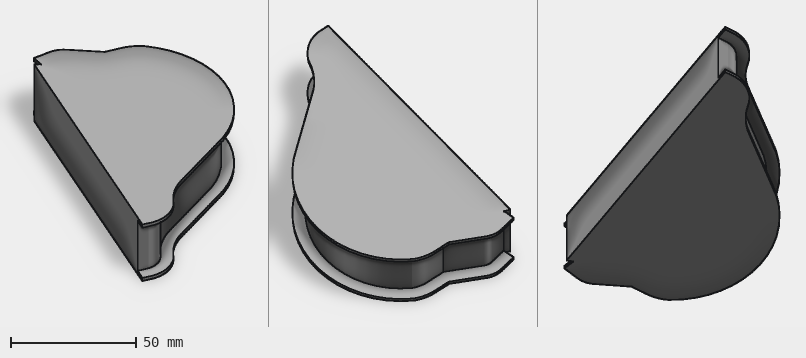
import cadquery as cq

length = 122.7
depth = 66.1
height = 28.0

flange_thickness = 1.6
wall_inset = 5.2
extension = 24.5

lip_tip = (1.7, 1.5)
nose_start = (0.2, 8.6)
nose_middle = (0.0, 10.8)
nose_end = (1.1, 15.6)
neck_x = 8.2
neck_bottom = (neck_x, 29.3)
neck_top = (neck_x, 36.0)
shoulder_middle = (8.7, 40.9)
dome_start = (10.4, 45.5)
dome_top = (47.2, depth)
dome_end = (82.8, 47.9)
valley_start = (100.3, 26.0)
valley_middle = (105.8, 20.6)
valley_end = (112.8, 17.3)
toe_middle = (119.4, 12.9)
toe_end = (length, 4.8)

notch_corner = (6.7, 2.6)
foot_corner = (5.6, 0.0)


def upper_outline(start):
    """Trace the curved edge from a start point on the lip edge to the right end."""
    return (
        cq.Workplane("XY")
        .moveTo(*start)
        .lineTo(*nose_start)
        .threePointArc(nose_middle, nose_end)
        .lineTo(*neck_bottom)
        .lineTo(*neck_top)
        .threePointArc(shoulder_middle, dome_start)
        .threePointArc(dome_top, dome_end)
        .lineTo(*valley_start)
        .threePointArc(valley_middle, valley_end)
        .threePointArc(toe_middle, toe_end)
    )


def make_flange(bottom_z):
    outline = upper_outline(lip_tip).lineTo(length, 0).lineTo(*foot_corner)
    flange = outline.lineTo(*notch_corner).close().extrude(flange_thickness)
    return flange.translate((0, 0, bottom_z))


def make_core():
    """Inset wall that stays flush with the flat front face."""
    lip_slope = (lip_tip[0] - nose_start[0]) / (nose_start[1] - lip_tip[1])
    extended_lip = (nose_start[0] + lip_slope * (nose_start[1] + extension), -extension)
    core = (
        upper_outline(extended_lip)
        .lineTo(length, -extension)
        .close()
        .offset2D(-wall_inset, "intersection")
        .extrude(height)
    )
    front_waste = cq.Workplane("XY").box(length, extension, height, centered=False)
    return core.cut(front_waste.translate((0, -extension, 0)))


def make_foot():
    """Slanted front left edge of the core, running the full height."""
    foot_back = (notch_corner[0] + wall_inset, notch_corner[1])
    foot_front = (foot_corner[0] + wall_inset, foot_corner[1])
    return cq.Workplane("XY").polyline([foot_corner, notch_corner, foot_back, foot_front]).close().extrude(height)


result = (
    make_core()
    .union(make_foot())
    .union(make_flange(0))
    .union(make_flange(height - flange_thickness))
)